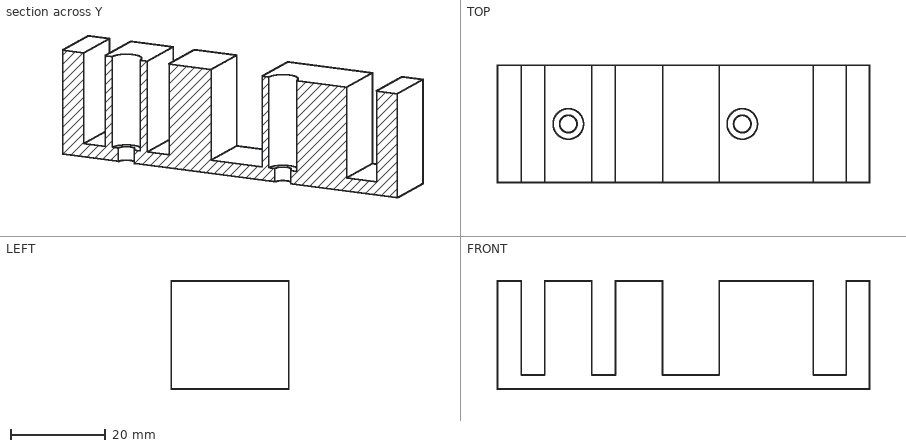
import cadquery as cq

length = 79.0
width = 25.0
height = 23.0
floor_thickness = 3.0

first_thin_fin = 5.05
thick_fin = 10.0
narrow_slot = 5.0
wide_slot = 12.0
end_slot = 6.95
block_length = 20.0

screw_diameter = 3.6
head_diameter = 6.5
block_hole_offset = 4.9

first_fin_start = first_thin_fin + narrow_slot
second_fin_start = first_fin_start + thick_fin + narrow_slot
block_start = second_fin_start + thick_fin + wide_slot
end_fin_start = block_start + block_length + end_slot

slots = [
    (first_thin_fin, narrow_slot),
    (first_fin_start + thick_fin, narrow_slot),
    (second_fin_start + thick_fin, wide_slot),
    (end_fin_start - end_slot, end_slot),
]
hole_positions = [
    (first_fin_start + thick_fin / 2, width / 2),
    (block_start + block_hole_offset, width / 2),
]

result = cq.Workplane("XY").box(length, width, height, centered=False)

for slot_start, slot_width in slots:
    slot = cq.Workplane("XY").box(
        slot_width, width, height - floor_thickness, centered=False
    )
    result = result.cut(slot.translate((slot_start, 0, floor_thickness)))

result = (
    result.faces(">Z")
    .workplane(origin=(0, 0, height))
    .pushPoints(hole_positions)
    .cboreHole(screw_diameter, head_diameter, height - floor_thickness)
)